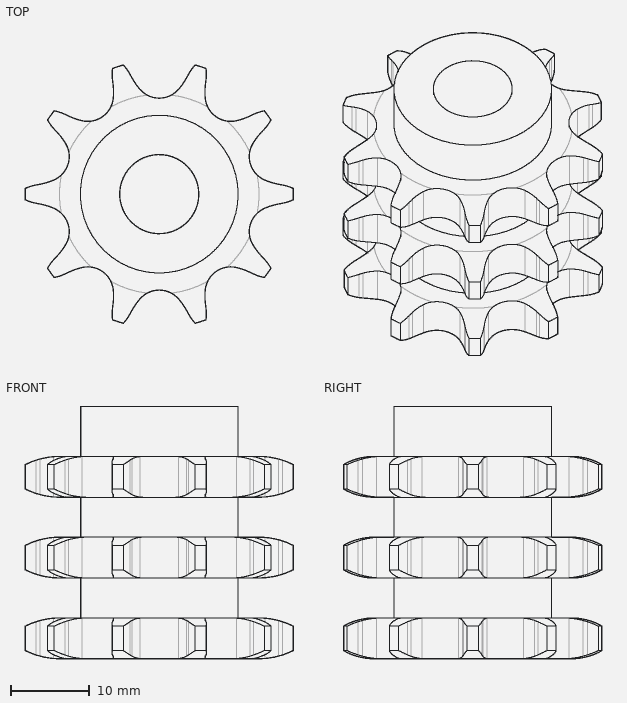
import cadquery as cq
import math


tooth_count = 10
chain_pitch = 9.52
roller_diameter = 6.35
seat_radius = 3.23
tip_radius = 17.0

disc_count = 3
disc_thickness = 5.2
disc_spacing = 10.25
crown_width = 4.35
crown_radius = chain_pitch

hub_diameter = 20.0
bore_diameter = 10.0
hub_height = 32.0

pitch_angle = 360.0 / tooth_count
pitch_radius = chain_pitch / 2 / math.sin(math.pi / tooth_count)
seat_end_angle = 35.0 + 60.0 / tooth_count
working_arc_angle = 18.0 - 56.0 / tooth_count
flank_angle = seat_end_angle - working_arc_angle
working_center_offset = 0.8 * roller_diameter
topping_center_offset = 1.4 * roller_diameter
working_radius = seat_radius + working_center_offset
topping_arc_angle = 60.0


def polar(center, radius, angle):
    """Point at a radius and an angle in degrees from a center."""
    turn = math.radians(angle)
    return (center[0] + radius * math.cos(turn), center[1] + radius * math.sin(turn))


def half_gap():
    """Right half of one tooth gap, with its roller seat centered on the +Y axis."""
    seat_center = (0, pitch_radius)
    working_center = polar(seat_center, working_center_offset, 180 - seat_end_angle)
    topping_center = polar(seat_center, topping_center_offset, -pitch_angle / 2)

    gap_bottom = polar(seat_center, seat_radius, -90)
    seat_middle = polar(seat_center, seat_radius, -(90 + seat_end_angle) / 2)
    seat_end = polar(seat_center, seat_radius, -seat_end_angle)
    working_middle = polar(working_center, working_radius, -(seat_end_angle + flank_angle) / 2)
    working_end = polar(working_center, working_radius, -flank_angle)

    normal = polar((0, 0), 1, -flank_angle)
    topping_radius = (
        (topping_center[0] - working_end[0]) * normal[0]
        + (topping_center[1] - working_end[1]) * normal[1]
    )
    topping_start_angle = 180 - flank_angle
    flank_end = polar(topping_center, topping_radius, topping_start_angle)
    topping_middle = polar(topping_center, topping_radius, topping_start_angle - topping_arc_angle / 2)
    topping_end = polar(topping_center, topping_radius, topping_start_angle - topping_arc_angle)

    return (
        cq.Workplane("XY")
        .moveTo(*gap_bottom)
        .threePointArc(seat_middle, seat_end)
        .threePointArc(working_middle, working_end)
        .lineTo(*flank_end)
        .threePointArc(topping_middle, topping_end)
        .lineTo(0, topping_end[1])
        .close()
        .extrude(disc_thickness)
    )


def disc_blank():
    """Bored disc whose rim is rounded on both sides."""
    crown_start = tip_radius - crown_width

    def crown_drop(width):
        return crown_radius - math.sqrt(crown_radius**2 - width**2)

    middle_radius = crown_start + crown_width / 2
    middle_drop = crown_drop(crown_width / 2)
    tip_drop = crown_drop(crown_width)
    return (
        cq.Workplane("XZ")
        .moveTo(bore_diameter / 2, 0)
        .lineTo(crown_start, 0)
        .threePointArc((middle_radius, middle_drop), (tip_radius, tip_drop))
        .lineTo(tip_radius, disc_thickness - tip_drop)
        .threePointArc((middle_radius, disc_thickness - middle_drop), (crown_start, disc_thickness))
        .lineTo(bore_diameter / 2, disc_thickness)
        .close()
        .revolve(360, (0, 0, 0), (0, 1, 0))
    )


def toothed_disc():
    """One sprocket disc with a tooth on the +X axis."""
    disc = disc_blank()
    right_half = half_gap()
    left_half = right_half.mirror("YZ")
    first_gap_turn = pitch_angle / 2 - 90
    for index in range(tooth_count):
        turn = first_gap_turn + index * pitch_angle
        for half in (right_half, left_half):
            disc = disc.cut(half.rotate((0, 0, 0), (0, 0, 1), turn))
    return disc


hub = (
    cq.Workplane("XY")
    .circle(hub_diameter / 2)
    .circle(bore_diameter / 2)
    .extrude(hub_height)
)

disc = toothed_disc()
result = hub
for index in range(disc_count):
    result = result.union(disc.translate((0, 0, index * disc_spacing)))